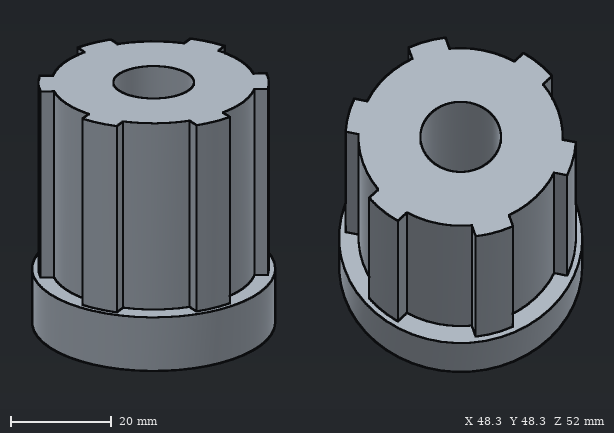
import cadquery as cq

total_height = 52.0
flange_diameter = 48.3
flange_height = 11.65

root_diameter = 40.55
spline_diameter = 45.75
spline_count = 6
spline_width = 7.75

bore_diameter = 16.0

body_height = total_height - flange_height


def cylinder(diameter, height, base_z=0):
    return cq.Workplane("XY").workplane(offset=base_z).circle(diameter / 2).extrude(height)


def spline_bars():
    """Radial bars, each forming two opposite splines, trimmed to the spline diameter."""
    bars = cq.Workplane("XY")
    for index in range(spline_count // 2):
        bar = (
            cq.Workplane("XY")
            .workplane(offset=flange_height)
            .rect(spline_width, flange_diameter)
            .extrude(body_height)
            .rotate((0, 0, 0), (0, 0, 1), index * 360 / spline_count)
        )
        bars = bars.union(bar) if index else bar
    return bars.intersect(cylinder(spline_diameter, body_height, flange_height))


flange = cylinder(flange_diameter, flange_height)
body = cylinder(root_diameter, body_height, flange_height).union(spline_bars())

bore = cylinder(bore_diameter, total_height)

result = flange.union(body).cut(bore)